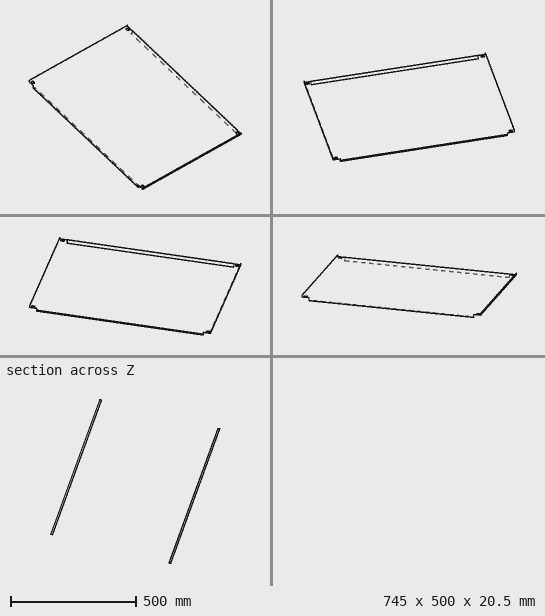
import cadquery as cq

length_x = 745.0
width_y = 500.0
height_z = 20.5
sheet = 1.5
bend_radius = 1.0

end_flange_height = 8.0
side_flange_length = 685.0
lip_width = 8.0

slot_length = 13.0
slot_width = 7.0
slot_corner_radius = 2.5
slot_end_offset = 13.5
slot_side_offset = 12.25

outer_radius = bend_radius + sheet
corner_setback = outer_radius
end_flange_width = width_y - 2 * corner_setback
plate_bottom = height_z - end_flange_height
plate_top = plate_bottom + sheet


def make_tray():
    """Plate with both X ends bent upward, as one folded strip."""
    outer = (
        cq.Workplane("XY")
        .box(length_x, end_flange_width, end_flange_height, centered=(True, True, False))
        .edges("|Y and <Z")
        .fillet(outer_radius)
    )
    inner = (
        cq.Workplane("XY", origin=(0, 0, sheet))
        .box(length_x - 2 * sheet, end_flange_width, end_flange_height, centered=(True, True, False))
        .edges("|Y and <Z")
        .fillet(bend_radius)
    )
    return outer.cut(inner).translate((0, 0, plate_bottom))


def make_side_channel():
    """Downturned C section: plate between two side walls with inward lips."""
    outer = (
        cq.Workplane("XY")
        .box(side_flange_length, width_y, plate_top, centered=(True, True, False))
        .edges("|X")
        .fillet(outer_radius)
    )
    inner = (
        cq.Workplane("XY", origin=(0, 0, sheet))
        .box(side_flange_length, width_y - 2 * sheet, plate_bottom - sheet, centered=(True, True, False))
        .edges("|X")
        .fillet(bend_radius)
    )
    lip_opening = cq.Workplane("XY").box(
        side_flange_length, width_y - 2 * lip_width, 2 * sheet, centered=(True, True, True)
    )
    return outer.cut(inner).cut(lip_opening)


def make_corner_slots():
    """Round-cornered mounting slots through the plate near its four corners."""
    return (
        cq.Workplane("XY", origin=(0, 0, plate_bottom))
        .rect(length_x - 2 * slot_end_offset, width_y - 2 * slot_side_offset, forConstruction=True)
        .vertices()
        .rect(slot_length, slot_width)
        .extrude(sheet)
        .edges("|Z")
        .fillet(slot_corner_radius)
    )


result = make_tray().union(make_side_channel()).cut(make_corner_slots())